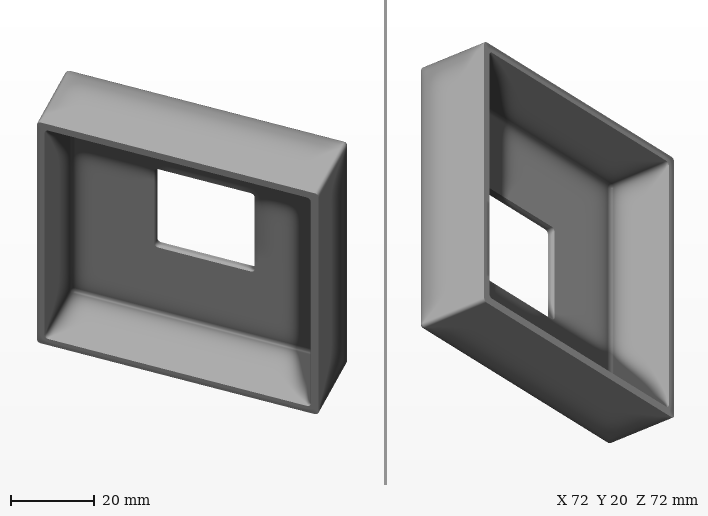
import cadquery as cq

side = 72.0
depth = 20.0
wall = 2.0
floor = 2.0

outer_radius = 1.0
inner_corner_radius = 1.0
floor_fillet = 1.0

opening = 25.55
opening_corner_radius = 1.0

cavity = side - 2 * wall
cavity_depth = depth - floor


def square_block(size, length, corner_radius):
    """Square prism with rounded corners, running from Y = 0 toward +Y."""
    block = cq.Workplane("XZ").rect(size, size).extrude(-length)
    return block.edges("|Y").fillet(corner_radius)


body = square_block(side, depth, outer_radius).faces(">Y").edges().fillet(outer_radius)
hollow = square_block(cavity, cavity_depth, inner_corner_radius).faces(">Y").edges().fillet(floor_fillet)
through_opening = square_block(opening, depth, opening_corner_radius)

result = body.cut(hollow).cut(through_opening)